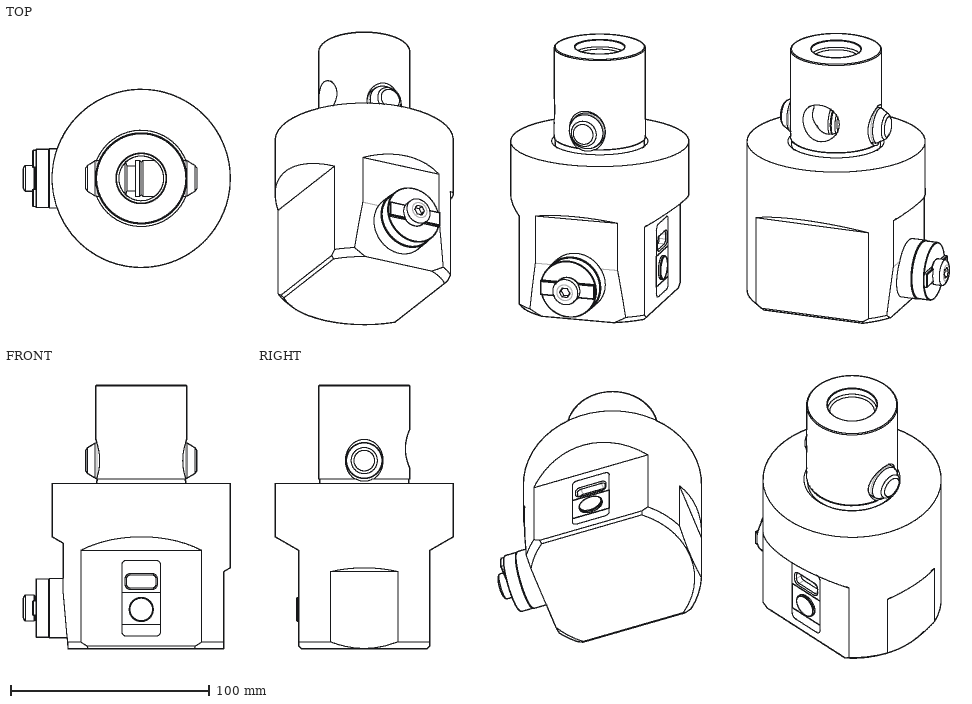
import cadquery as cq
import math


housing_radius = 45.0
housing_height = 83.5
side_flat_y = 33.1
left_flat_x = 39.4
right_flat_x = 41.7
flat_start_z = 56.55
right_flat_start_z = 40.9
relief_angle = 30.0
taper_start_z = 28.5
taper_angle = 5.0
base_chamfer = 3.5
flat_base_chamfer = 1.4
socket_radius = 22.5
socket_depth = 20.0
socket_chamfer = 1.8

knob_z = 20.6
boss_radius = 15.0
boss_end_x = -46.5
boss_root_x = -30.0
boss_chamfer = 0.25
cap_radius = 14.75
cap_chamfer = 0.3
cap_end_x = -53.2
bar_end_x = -54.85
bar_half_length = 14.3
bar_height = 7.4
bar_chamfer = 0.4

screw_end_x = -59.61
screw_seat_x = -53.7
screw_head_radius = 6.6
screw_face_radius = 4.1
screw_dome_height = 1.2
screw_edge_chamfer = 0.4
shank_radius = 3.0
shank_end_x = -42.0
hex_across_corners = 5.4
hex_depth = 4.5
hex_cone_depth = 1.6

shaft_radius = 23.0
shaft_height = 49.7
shaft_edge_chamfer = 0.5
neck_height = 2.1
counterbore_radius = 12.5
counterbore_depth = 3.8
counterbore_chamfer = 0.3
counterbore_cone_depth = 0.9
bore_radius = 11.3
bore_bottom_z = 85.0
drill_half_angle = 59.0
window_radius = 9.8
window_z = 101.0

pin_z = 95.0
pin_radius = 9.1
pin_end_x = 28.1
pin_face_radius = 5.2
pin_nose_radius = 6.6
pin_nose_x = 27.0
pin_cone_x = 23.2
pin_cone_radius = 8.9
pin_body_x = 22.3
pin_inner_chamfer = 0.9
pin_countersink_radius = 10.7
pin_hole_cone_angle = 30.0
stem_radius = 6.3
stem_start_x = -7.2
flange_start_x = -2.9

panel_width = 19.6
panel_bottom_z = 6.4
panel_top_z = 44.7
panel_corner = 2.5
panel_depth = 6.0
display_width = 16.3
display_height = 8.0
display_z = 34.0
display_corner = 2.0
display_depth = 4.0
display_chamfer = 0.7
button_z = 19.9
button_radius = 6.1
button_height = 1.0
button_chamfer = 0.4
button_field_bottom_z = 12.4
button_field_top_z = 28.5
button_field_depth = 0.2

cutter_margin = 1.0

housing_top_z = housing_height
shaft_top_z = housing_height + shaft_height
relief_slope = math.tan(math.radians(relief_angle))


def cylinder_x(radius, x_start, x_end, z):
    """Cylinder along X between two X positions, at height z."""
    plane = cq.Workplane("YZ", origin=(x_start, 0, z))
    return plane.circle(radius).extrude(x_end - x_start)


def revolve_x(points, z):
    """Solid of revolution about a line along X, from (x, radius) points."""
    plane = cq.Workplane("XZ", origin=(0, 0, z))
    return plane.polyline(points).close().revolve(360, (0, 0, 0), (1, 0, 0))


def revolve_z(points):
    """Solid of revolution about Z, from (radius, z) points."""
    return cq.Workplane("XZ").polyline(points).close().revolve(360, (0, 0, 0), (0, 1, 0))



def flat_cutter(flat_distance, start_z, turn, lean_z=None):
    """Block outside a flat, undercut by the relief slope, turned about Z from the +X side."""
    far = 2 * housing_radius
    slope_top_z = start_z + (far - housing_radius) * relief_slope
    flat_top_z = start_z - (housing_radius - flat_distance) * relief_slope
    outline = [(far, 0), (far, slope_top_z), (flat_distance, flat_top_z)]
    if lean_z is None:
        outline.append((flat_distance, 0))
    else:
        lean = lean_z * math.tan(math.radians(taper_angle))
        outline += [(flat_distance, lean_z), (flat_distance - lean, 0)]
    block = cq.Workplane("XZ").polyline(outline).close().extrude(housing_radius, both=True)
    return block.rotate((0, 0, 0), (0, 0, 1), turn)


def flat_base_cutter(turn):
    """Wedge that chamfers the bottom edge of a Y flat."""
    outline = [
        (side_flat_y - flat_base_chamfer, 0),
        (side_flat_y, flat_base_chamfer),
        (side_flat_y, 0),
    ]
    wedge = cq.Workplane("XZ").polyline(outline).close().extrude(housing_radius, both=True)
    return wedge.rotate((0, 0, 0), (0, 0, 1), turn)


def make_housing():
    body = cq.Workplane("XY").circle(housing_radius).extrude(housing_height)
    body = body.faces("<Z").chamfer(base_chamfer)
    for turn in (90, -90):
        body = body.cut(flat_cutter(side_flat_y, flat_start_z, turn))
        body = body.cut(flat_base_cutter(turn))
    body = body.cut(flat_cutter(right_flat_x, right_flat_start_z, 0))
    body = body.cut(flat_cutter(left_flat_x, flat_start_z, 180, taper_start_z))
    boss = cylinder_x(boss_radius, boss_end_x, boss_root_x, knob_z)
    body = body.union(boss.faces("<X").chamfer(boss_chamfer))
    mouth_radius = socket_radius + socket_chamfer
    socket_profile = [
        (0, housing_top_z),
        (mouth_radius, housing_top_z),
        (socket_radius, housing_top_z - socket_chamfer),
        (socket_radius, housing_top_z - socket_depth),
        (0, housing_top_z - socket_depth),
    ]
    return body.cut(revolve_z(socket_profile))



def pin_countersink(side):
    """Cone that opens the pin hole toward the shaft surface; side is -1 or +1."""
    growth = math.tan(math.radians(pin_hole_cone_angle))
    start_x = shaft_radius - (pin_countersink_radius - pin_radius) / growth
    end_x = shaft_radius + cutter_margin
    end_radius = pin_countersink_radius + cutter_margin * growth
    profile = [
        (side * start_x, 0),
        (side * start_x, pin_radius),
        (side * end_x, end_radius),
        (side * end_x, 0),
    ]
    return revolve_x(profile, pin_z)


def make_shaft():
    bottom_z = housing_top_z - socket_depth
    neck_top_z = housing_top_z + neck_height
    top_length = shaft_top_z - neck_top_z
    body = cq.Workplane("XY", origin=(0, 0, neck_top_z)).circle(shaft_radius).extrude(top_length)
    body = body.faces(">Z").chamfer(shaft_edge_chamfer)
    plug = cq.Workplane("XY", origin=(0, 0, bottom_z)).circle(socket_radius).extrude(neck_top_z - bottom_z)
    body = body.union(plug)

    counterbore_z = shaft_top_z - counterbore_depth
    drill_tip_z = bore_bottom_z - bore_radius / math.tan(math.radians(drill_half_angle))
    bore_profile = [
        (0, shaft_top_z),
        (counterbore_radius + counterbore_chamfer, shaft_top_z),
        (counterbore_radius, shaft_top_z - counterbore_chamfer),
        (counterbore_radius, counterbore_z),
        (bore_radius, counterbore_z - counterbore_cone_depth),
        (bore_radius, bore_bottom_z),
        (0, drill_tip_z),
    ]
    body = body.cut(revolve_z(bore_profile))

    window = cq.Workplane("XZ", origin=(0, 0, window_z)).circle(window_radius).extrude(-shaft_radius)
    body = body.cut(window)
    body = body.cut(cylinder_x(pin_radius, -shaft_radius, shaft_radius, pin_z))
    for side in (-1, 1):
        body = body.cut(pin_countersink(side))
    return body



def make_pin(side):
    """Round pin with a tapered nose; side is -1 or +1."""
    profile = [
        (0, 0),
        (0, pin_radius - pin_inner_chamfer),
        (side * pin_inner_chamfer, pin_radius),
        (side * pin_body_x, pin_radius),
        (side * pin_cone_x, pin_cone_radius),
        (side * pin_nose_x, pin_nose_radius),
        (side * pin_end_x, pin_face_radius),
        (side * pin_end_x, 0),
    ]
    return revolve_x(profile, pin_z)


def make_left_pin():
    """Left pin, necked down to a stem that leaves a flange at its inner end."""
    groove = cylinder_x(pin_radius + cutter_margin, stem_start_x, flange_start_x, pin_z)
    groove = groove.cut(cylinder_x(stem_radius, stem_start_x, flange_start_x, pin_z))
    cone = revolve_x(
        [
            (stem_start_x, stem_radius),
            (stem_start_x - pin_inner_chamfer, pin_radius),
            (stem_start_x, pin_radius),
        ],
        pin_z,
    )
    return make_pin(-1).cut(groove).cut(cone)



def make_screw():
    dome_x = screw_end_x + screw_dome_height
    body = (
        cq.Workplane("XZ", origin=(0, 0, knob_z))
        .moveTo(screw_end_x, 0)
        .lineTo(screw_end_x, screw_face_radius)
        .tangentArcPoint((dome_x, screw_head_radius), relative=False)
        .lineTo(screw_seat_x - screw_edge_chamfer, screw_head_radius)
        .lineTo(screw_seat_x, screw_head_radius - screw_edge_chamfer)
        .lineTo(screw_seat_x, shank_radius)
        .lineTo(shank_end_x, shank_radius)
        .lineTo(shank_end_x, 0)
        .close()
        .revolve(360, (0, 0, 0), (1, 0, 0))
    )
    hex_plane = cq.Workplane("YZ", origin=(screw_end_x, 0, knob_z))
    hexagon = hex_plane.polygon(6, hex_across_corners).extrude(hex_depth)
    corner_radius = hex_across_corners / 2
    pointed_bottom = revolve_x(
        [
            (screw_end_x, 0),
            (screw_end_x, corner_radius),
            (screw_end_x + hex_depth - hex_cone_depth, corner_radius),
            (screw_end_x + hex_depth, 0),
        ],
        knob_z,
    )
    return body.cut(hexagon.intersect(pointed_bottom))


def make_cap():
    body = cylinder_x(cap_radius, cap_end_x, boss_end_x, knob_z)
    body = body.faces("<X or >X").chamfer(cap_chamfer)
    bar_plane = cq.Workplane("YZ", origin=(cap_end_x, 0, knob_z))
    bar = bar_plane.rect(2 * bar_half_length, bar_height).extrude(bar_end_x - cap_end_x)
    body = body.union(bar.faces("<X").chamfer(bar_chamfer))
    head_seat = cylinder_x(screw_head_radius, bar_end_x, screw_seat_x, knob_z)
    shank_hole = cylinder_x(shank_radius, bar_end_x, boss_end_x, knob_z)
    return body.cut(head_seat).cut(shank_hole)



def flat_plane(z):
    """Plane on the -Y flat, facing -Y; extruding by a negative length goes inward."""
    return cq.Workplane("XZ", origin=(0, -side_flat_y, z))


def panel_block():
    """Rounded block that fills the panel recess."""
    height = panel_top_z - panel_bottom_z
    block = flat_plane((panel_top_z + panel_bottom_z) / 2).rect(panel_width, height).extrude(-panel_depth)
    return block.edges("|Y").fillet(panel_corner)


def make_panel():
    body = panel_block()
    pocket_width = display_width - 2 * display_chamfer
    pocket_height = display_height - 2 * display_chamfer
    pocket = flat_plane(display_z).rect(pocket_width, pocket_height).extrude(-display_depth)
    body = body.cut(pocket.edges("|Y").fillet(display_corner))
    rim_edges = body.faces("<Y").edges(cq.selectors.BoxSelector(
        (-display_width / 2, -side_flat_y - cutter_margin, display_z - display_height / 2),
        (display_width / 2, -side_flat_y + cutter_margin, display_z + display_height / 2),
    ))
    body = rim_edges.chamfer(display_chamfer)
    field_height = button_field_top_z - button_field_bottom_z
    field_z = (button_field_top_z + button_field_bottom_z) / 2
    body = body.cut(flat_plane(field_z).rect(panel_width, field_height).extrude(-button_field_depth))
    button = flat_plane(button_z).circle(button_radius).extrude(button_height)
    button = button.faces("<Y").chamfer(button_chamfer)
    button_root = flat_plane(button_z).circle(button_radius).extrude(-button_field_depth)
    return body.union(button_root).union(button)


shaft = make_shaft()
left_pin = make_left_pin()
right_pin = make_pin(1)
screw = make_screw()
cap = make_cap()
panel = make_panel()
screw_hole = cylinder_x(shank_radius, boss_end_x, shank_end_x, knob_z)
housing = make_housing().cut(panel_block()).cut(screw_hole)

result = cq.Compound.makeCompound(
    [
        housing.val(),
        shaft.val(),
        left_pin.val(),
        right_pin.val(),
        cap.val(),
        screw.val(),
        panel.val(),
    ]
)